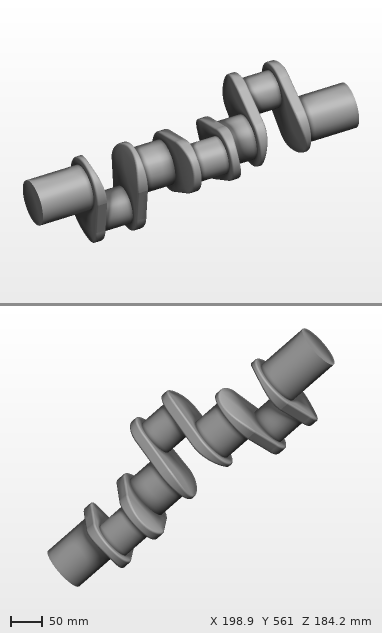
import cadquery as cq
import math

JOURNAL_RADIUS = 38.1
PIN_RADIUS = 31.75
THROW = 63.5
WEB_MAIN_RADIUS = 50.8
WEB_PIN_RADIUS = 44.45
WEB_THICKNESS = 19.05
WEB_FILLET = 3.175
GAP = 53.34
TOTAL_LENGTH = 561.04

RELIEF_RADIUS = 127.0
RELIEF_SWEEP = math.radians(45)
PIN_END_RELIEF_START = 71.0
MAIN_END_RELIEF_START = 0.0

THROW_ANGLES = (-90, 30, 150)

THROW_LENGTH = 2 * WEB_THICKNESS + GAP
THROW_COUNT = len(THROW_ANGLES)
END_JOURNAL_LENGTH = (TOTAL_LENGTH - THROW_COUNT * THROW_LENGTH - (THROW_COUNT - 1) * GAP) / 2
EMBED = WEB_THICKNESS / 2


def shaft(radius, y_start, y_end, x_offset=0.0):
    """Cylinder parallel to Y between two Y positions."""
    plane = cq.Plane(origin=(x_offset, y_start, 0), xDir=(1, 0, 0), normal=(0, 1, 0))
    return cq.Workplane(plane).circle(radius).extrude(y_end - y_start)


def web_blank():
    """Flat web of two half circles joined by straight sides, with its pin end toward +X.

    The journal-side face lies at y = 0 and the pin-side face at y = WEB_THICKNESS.
    """
    return (
        cq.Workplane("XZ")
        .moveTo(0, WEB_MAIN_RADIUS)
        .threePointArc((-WEB_MAIN_RADIUS, 0), (0, -WEB_MAIN_RADIUS))
        .lineTo(THROW, -WEB_PIN_RADIUS)
        .threePointArc((THROW + WEB_PIN_RADIUS, 0), (THROW, WEB_PIN_RADIUS))
        .close()
        .extrude(-WEB_THICKNESS)
    )


def relief_cutter(x_start, x_side, face_y, y_side):
    """Material outside an arc that leaves a web face tangentially at x_start.

    x_side is the X direction in which the arc runs; y_side is the outward Y direction of the face.
    """
    def arc_point(angle):
        x = x_start + x_side * RELIEF_RADIUS * math.sin(angle)
        y = face_y - y_side * RELIEF_RADIUS * (1 - math.cos(angle))
        return x, y

    x_end, y_end = arc_point(RELIEF_SWEEP)
    return (
        cq.Workplane("XY")
        .moveTo(x_start, face_y)
        .threePointArc(arc_point(RELIEF_SWEEP / 2), (x_end, y_end))
        .lineTo(x_end, face_y)
        .close()
        .extrude(WEB_MAIN_RADIUS, both=True)
    )


def web():
    """Finished web with both reliefs and rounded rims."""
    body = web_blank()
    body = body.cut(relief_cutter(PIN_END_RELIEF_START, 1, 0, -1))
    body = body.cut(relief_cutter(MAIN_END_RELIEF_START, -1, WEB_THICKNESS, 1))
    return body.edges("not (|Y or |Z)").fillet(WEB_FILLET)


def throw(front_web):
    """Two mirrored webs and their crank pin, starting at y = 0, pin toward +X."""
    back_web = front_web.mirror("XZ").translate((0, THROW_LENGTH, 0))
    pin = shaft(PIN_RADIUS, EMBED, THROW_LENGTH - EMBED, THROW)
    return front_web.union(back_web).union(pin)


def placed_throw(single_throw, angle, y):
    """Copy of the throw turned to its angle and moved to start at y."""
    return single_throw.rotate((0, 0, 0), (0, 1, 0), -angle).translate((0, y, 0))


def crankshaft():
    """Journals and throws stacked along Y, centred on the origin."""
    single_throw = throw(web())
    y = -TOTAL_LENGTH / 2
    body = shaft(JOURNAL_RADIUS, y, y + END_JOURNAL_LENGTH + EMBED)
    y += END_JOURNAL_LENGTH
    for angle in THROW_ANGLES[:-1]:
        body = body.union(placed_throw(single_throw, angle, y))
        y += THROW_LENGTH
        body = body.union(shaft(JOURNAL_RADIUS, y - EMBED, y + GAP + EMBED))
        y += GAP
    body = body.union(placed_throw(single_throw, THROW_ANGLES[-1], y))
    y += THROW_LENGTH
    return body.union(shaft(JOURNAL_RADIUS, y - EMBED, y + END_JOURNAL_LENGTH))


result = crankshaft()